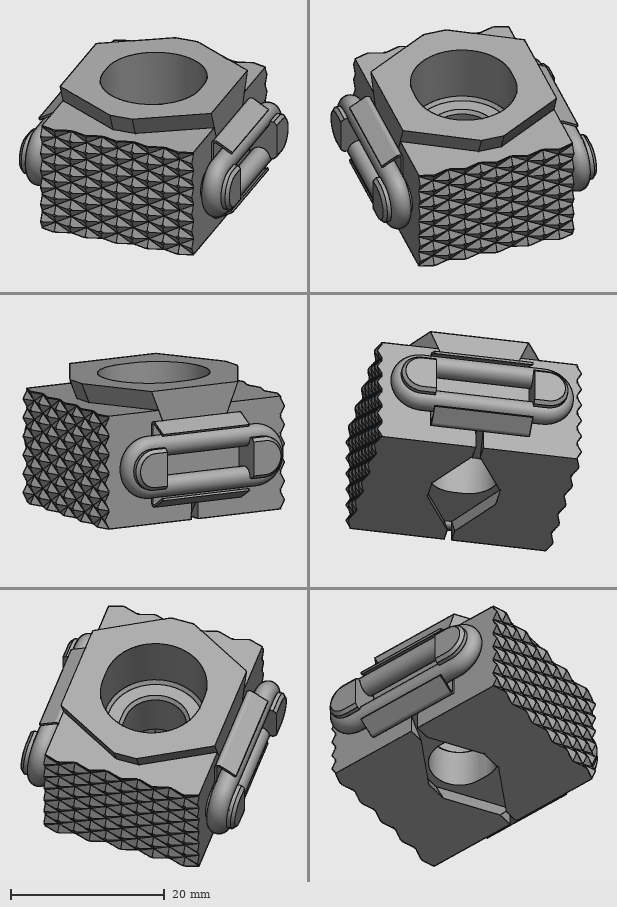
import cadquery as cq
import math


TOTAL_X = 29.3
TOTAL_Y = 27.0
TOTAL_Z = 17.6
BODY_WIDTH = 21.1
JAW_HEIGHT = 15.0
JAW_GAP = 1.0

CORNER_Y = 6.5
PROW_Y = 11.75
PROW_FLAT = 3.1
WEDGE_SLOPE = math.tan(math.radians(22.3))
WEDGE_DEPTH = (CORNER_Y - JAW_GAP / 2) / WEDGE_SLOPE

SLOT_TRAVEL = 1.4
COUNTERBORE_RADIUS = 6.7
COUNTERBORE_DEPTH = 8.05
HOLE_RADIUS = 4.05
HOLE_CHAMFER = 0.45

KNURL_ANGLE = 30.0
KNURL_SPACING = 2.5
KNURL_BASE_Z = -0.05
GROOVE_DEPTH = 0.6
GROOVE_WIDTH = 1.82

TUBE_RADIUS = 2.75 / 2
RING_X = 12.3
RING_Z = 8.03
RING_BEND = 2.72
RING_END_Y = 7.97

STUD_FLAT_Y = CORNER_Y
STUD_CENTRE_Y = 8.32
STUD_RADIUS = 2.7
NECK_RADIUS = 2.02
STUD_CHAMFER = 0.45

CLIP_THICKNESS = 0.3
CLIP_HEIGHT = 11.35
CLIP_LENGTH = 2 * CORNER_Y
CLIP_BEND = 0.6
ARM_ANGLE = 30.0
ARM_LENGTH = 2.4

SIDES = (-1, 1)


def prow_edge(depth):
    """Corner points of the +Y prow at a depth below the wedge top."""
    inset = depth * WEDGE_SLOPE
    half_width = BODY_WIDTH / 2
    return [
        (half_width, CORNER_Y - inset),
        (PROW_FLAT / 2, PROW_Y - inset),
        (-PROW_FLAT / 2, PROW_Y - inset),
        (-half_width, CORNER_Y - inset),
    ]


def loft_down(outline, depth):
    """Solid between outline(0) at the wedge top and outline(depth) below it."""
    return (
        cq.Workplane("XY", origin=(0, 0, TOTAL_Z))
        .polyline(outline(0))
        .close()
        .workplane(offset=-depth)
        .polyline(outline(depth))
        .close()
        .loft(ruled=True)
    )


def wedge_outline(depth):
    edge = prow_edge(depth)
    return edge + [(-x, -y) for x, y in edge]


def jaw_clearance(depth):
    """Region beside the +Y jaw's wedge face, carried past the far side of the part."""
    return prow_edge(depth) + [(-BODY_WIDTH / 2, -TOTAL_Y), (BODY_WIDTH / 2, -TOTAL_Y)]


def slot_tool(radius, top_z, depth, taper=0):
    """Slot elongated along Y, cut downwards from top_z."""
    return (
        cq.Workplane("XY", origin=(0, 0, top_z))
        .slot2D(2 * radius + SLOT_TRAVEL, 2 * radius, 90)
        .extrude(-depth, taper=taper)
    )


def make_wedge():
    floor_z = TOTAL_Z - COUNTERBORE_DEPTH
    wall_depth = COUNTERBORE_DEPTH - HOLE_CHAMFER
    wedge = loft_down(wedge_outline, WEDGE_DEPTH)
    wedge = wedge.cut(slot_tool(COUNTERBORE_RADIUS, TOTAL_Z, wall_depth))
    wedge = wedge.cut(slot_tool(COUNTERBORE_RADIUS, floor_z + HOLE_CHAMFER, HOLE_CHAMFER, 45))
    wedge = wedge.cut(slot_tool(HOLE_RADIUS + HOLE_CHAMFER, floor_z, HOLE_CHAMFER, 45))
    return wedge.cut(slot_tool(HOLE_RADIUS, floor_z, floor_z))


def make_ring(side):
    top_z = RING_Z + RING_BEND
    bottom_z = RING_Z - RING_BEND
    path = (
        cq.Workplane("YZ", origin=(side * RING_X, 0, 0))
        .moveTo(0, top_z)
        .lineTo(RING_END_Y, top_z)
        .threePointArc((RING_END_Y + RING_BEND, RING_Z), (RING_END_Y, bottom_z))
        .lineTo(-RING_END_Y, bottom_z)
        .threePointArc((-RING_END_Y - RING_BEND, RING_Z), (-RING_END_Y, top_z))
        .close()
    )
    return (
        cq.Workplane("XZ", origin=(side * RING_X, 0, top_z))
        .circle(TUBE_RADIUS)
        .sweep(path)
    )


def stud_section(radius, start_x, end_x):
    """D-shaped length of the +X stud on the +Y jaw."""
    return (
        cq.Workplane("YZ", origin=(start_x, 0, 0))
        .moveTo(STUD_FLAT_Y, RING_Z - radius)
        .lineTo(STUD_CENTRE_Y, RING_Z - radius)
        .threePointArc((STUD_CENTRE_Y + radius, RING_Z), (STUD_CENTRE_Y, RING_Z + radius))
        .lineTo(STUD_FLAT_Y, RING_Z + radius)
        .close()
        .extrude(end_x - start_x)
    )


def make_stud():
    """Narrow neck and wider chamfered head, grooved to seat the ring."""
    neck = stud_section(NECK_RADIUS, BODY_WIDTH / 2, RING_X)
    head = stud_section(STUD_RADIUS, RING_X, TOTAL_X / 2)
    head = head.faces(">X").edges("not(<Y)").chamfer(STUD_CHAMFER)
    return neck.union(head).cut(make_ring(1))


def make_knurl_grooves():
    """All V grooves of the knurl on the +Y face."""
    face_y = TOTAL_Y / 2
    rise = BODY_WIDTH / 2 * math.tan(math.radians(KNURL_ANGLE))
    first = -math.ceil(rise / KNURL_SPACING)
    last = math.ceil((JAW_HEIGHT + rise) / KNURL_SPACING)
    groove = (
        cq.Workplane("YZ")
        .polyline([
            (face_y, -GROOVE_WIDTH / 2),
            (face_y - GROOVE_DEPTH, 0),
            (face_y, GROOVE_WIDTH / 2),
        ])
        .close()
        .extrude(BODY_WIDTH, both=True)
    )
    grooves = []
    for angle in (-KNURL_ANGLE, KNURL_ANGLE):
        tilted = groove.rotate((0, 0, 0), (0, 1, 0), angle)
        for step in range(first, last + 1):
            height = KNURL_BASE_Z + (step + 0.5) * KNURL_SPACING
            grooves.append(tilted.translate((0, 0, height)).val())
    return grooves


def make_jaw():
    """The +Y jaw."""
    jaw = cq.Workplane("XY").box(
        BODY_WIDTH, TOTAL_Y / 2 - JAW_GAP / 2, JAW_HEIGHT, centered=(True, False, False)
    )
    jaw = jaw.translate((0, JAW_GAP / 2, 0))
    jaw = jaw.cut(loft_down(jaw_clearance, TOTAL_Z))
    for groove in make_knurl_grooves():
        jaw = jaw.cut(cq.Workplane(groove))
    stud = make_stud()
    return jaw.union(stud).union(stud.mirror("YZ"))


def make_clip():
    """The +X clip: a flat plate with a sloping arm at the top and bottom."""
    inner_bend = CLIP_BEND - CLIP_THICKNESS
    plate_x = BODY_WIDTH / 2
    bend_x = plate_x + CLIP_BEND
    bend_z = CLIP_HEIGHT / 2 - CLIP_BEND
    slope = math.radians(ARM_ANGLE)
    normal = math.pi / 2 - slope
    arm = (ARM_LENGTH * math.cos(slope), -ARM_LENGTH * math.sin(slope))

    def on_bend(radius, angle):
        return (bend_x + radius * math.cos(angle), bend_z + radius * math.sin(angle))

    def arm_tip(radius):
        start_x, start_z = on_bend(radius, normal)
        return (start_x + arm[0], start_z + arm[1])

    middle = (normal + math.pi) / 2
    upper_half = (
        cq.Workplane("XZ", origin=(0, 0, RING_Z))
        .moveTo(plate_x, 0)
        .lineTo(plate_x, bend_z)
        .threePointArc(on_bend(CLIP_BEND, middle), on_bend(CLIP_BEND, normal))
        .lineTo(*arm_tip(CLIP_BEND))
        .lineTo(*arm_tip(inner_bend))
        .lineTo(*on_bend(inner_bend, normal))
        .threePointArc(on_bend(inner_bend, middle), on_bend(inner_bend, math.pi))
        .lineTo(plate_x + CLIP_THICKNESS, 0)
        .close()
        .extrude(CLIP_LENGTH / 2, both=True)
    )
    return upper_half.union(upper_half.mirror("XY", (0, 0, RING_Z))).clean()


wedge = make_wedge()
jaw = make_jaw()
jaws = [jaw, jaw.mirror("XZ")]
rings = [make_ring(side) for side in SIDES]
clip = make_clip()
clips = [clip, clip.mirror("YZ")]

result = cq.Compound.makeCompound([body.val() for body in [wedge, *jaws, *rings, *clips]])